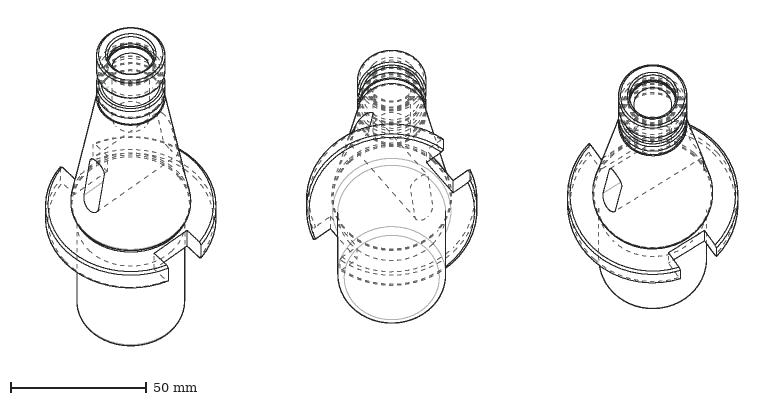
import cadquery as cq
import math

total_height = 158.4
flange_bottom = 53.4
flange_top = 63.4
relief_top = 65.0
taper_bottom = 65.7
taper_top = 131.0
collar_bottom = 135.5
neck_bottom = 140.5
head_bottom = 147.3

body_radius = 20.0
flange_radius = 31.5
gauge_radius = 22.2
relief_depth = 0.5
taper_slope = 7 / 48
taper_top_radius = gauge_radius - taper_slope * (taper_top - taper_bottom)
groove_radius = 12.2
collar_radius = 12.7
neck_radius = 11.0

bottom_round = 2.4
flange_round = 1.9
flange_chamfer = 1.0
collar_chamfer = 0.8

notch_width = 16.0
notch_floor = 22.5

slot_width = 8.2
slot_bottom = 78.2
slot_top = 105.2

mouth_radius = 9.3
entry_radius = 8.5
entry_depth = 7.5
recess_radius = 9.0
recess_height = 2.0
bore_radius = 7.0
bore_depth = 39.6
drill_point_angle = 118.0


def stub(radius, bottom, top):
    """Vertical cylinder between two heights."""
    return cq.Workplane("XY").workplane(offset=bottom).circle(radius).extrude(top - bottom)


def turned_body():
    arc_mid = 1 - math.sqrt(0.5)
    profile = (
        cq.Workplane("XZ")
        .moveTo(0, 0)
        .lineTo(body_radius - bottom_round, 0)
        .threePointArc(
            (body_radius - arc_mid * bottom_round, arc_mid * bottom_round),
            (body_radius, bottom_round),
        )
        .lineTo(body_radius, flange_bottom - flange_round)
        .threePointArc(
            (body_radius + arc_mid * flange_round, flange_bottom - arc_mid * flange_round),
            (body_radius + flange_round, flange_bottom),
        )
        .lineTo(flange_radius - flange_chamfer, flange_bottom)
        .lineTo(flange_radius, flange_bottom + flange_chamfer)
        .lineTo(flange_radius, flange_top - flange_chamfer)
        .lineTo(flange_radius - flange_chamfer, flange_top)
        .lineTo(gauge_radius - relief_depth, flange_top)
        .lineTo(gauge_radius - relief_depth, relief_top - relief_depth)
        .lineTo(gauge_radius, relief_top)
        .lineTo(gauge_radius, taper_bottom)
        .lineTo(taper_top_radius, taper_top)
        .lineTo(0, taper_top)
        .close()
    )
    return profile.revolve(360, (0, 0, 0), (0, 1, 0))


def pull_head():
    groove = stub(groove_radius, taper_top, collar_bottom)
    collar = stub(collar_radius, collar_bottom, neck_bottom)
    collar = collar.faces(">Z").edges().chamfer(collar_chamfer)
    neck = stub(neck_radius, neck_bottom, head_bottom)
    head = stub(collar_radius, head_bottom, total_height)
    head = head.edges("%CIRCLE").chamfer(collar_chamfer)
    return groove.union(collar).union(neck).union(head)


def drive_notches():
    notches = cq.Workplane("XY")
    notch_depth = flange_radius - notch_floor
    for side in (-1, 1):
        notch = (
            cq.Workplane("XY")
            .workplane(offset=flange_bottom)
            .center(side * (notch_floor + notch_depth / 2), 0)
            .rect(notch_depth, notch_width)
            .extrude(flange_top - flange_bottom)
        )
        notches = notches.add(notch)
    return notches.combine()


def cross_slot():
    return (
        cq.Workplane("XZ")
        .center(0, (slot_bottom + slot_top) / 2)
        .slot2D(slot_top - slot_bottom, slot_width, 90)
        .extrude(gauge_radius, both=True)
    )


def drawbar_hole():
    bore_bottom = total_height - bore_depth
    entry_bottom = total_height - entry_depth
    point_length = bore_radius / math.tan(math.radians(drill_point_angle / 2))
    mouth_chamfer = mouth_radius - entry_radius
    profile = (
        cq.Workplane("XZ")
        .moveTo(0, bore_bottom - point_length)
        .lineTo(bore_radius, bore_bottom)
        .lineTo(bore_radius, entry_bottom - (entry_radius - bore_radius))
        .lineTo(entry_radius, entry_bottom)
        .lineTo(recess_radius, entry_bottom)
        .lineTo(recess_radius, entry_bottom + recess_height)
        .lineTo(entry_radius, entry_bottom + recess_height)
        .lineTo(entry_radius, total_height - mouth_chamfer)
        .lineTo(mouth_radius, total_height)
        .lineTo(0, total_height)
        .close()
    )
    return profile.revolve(360, (0, 0, 0), (0, 1, 0))


result = turned_body().union(pull_head())
result = result.cut(drive_notches()).cut(cross_slot()).cut(drawbar_hole())